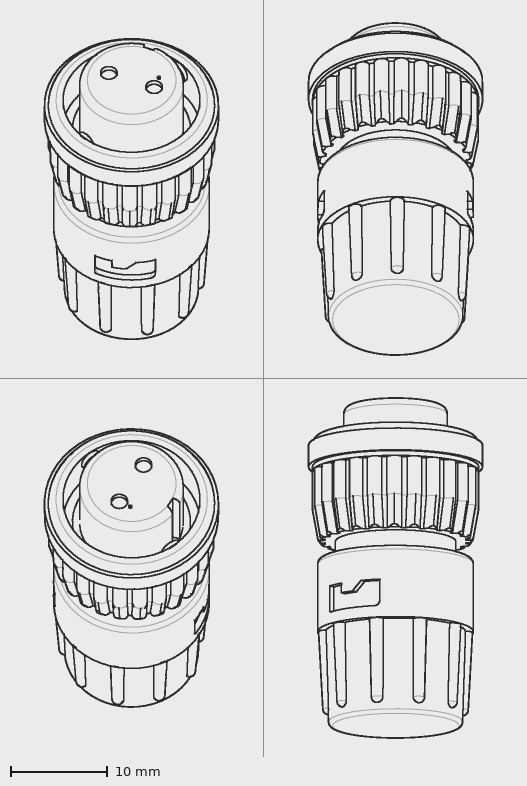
import cadquery as cq
import math

rib_bottom_z = 1.72
sleeve_bottom_z = 9.9
sleeve_top_z = 17.5
grip_bottom_z = 19.42
grip_bend_z = 22.8
grip_top_z = 26.82
flange_bottom_z = 27.33
flange_top_z = 29.63
rim_top_z = 30.47
plug_top_z = 33.68
total_height = 33.78

tail_bottom_radius = 6.95
tail_top_radius = 7.25
tail_edge_fillet = 0.4
rib_count = 10
first_rib_angle = -90
rib_top_center = 7.25
rib_bottom_center = 6.92
rib_top_radius = 0.725
rib_bottom_radius = 0.625

sleeve_radius = 8.07
sleeve_edge_fillet = 0.45
neck_radius = 6.25

latch_depth = 0.68
latch_angle = 17.2
latch_half_width = 3.15
latch_bottom_z = 11.1
latch_top_z = 13.9
latch_tooth_z = 12.87
latch_tooth_left = -1.32
latch_tooth_right = 0.17
latch_small_corner = 0.17
latch_large_corner = 0.5

nut_radius = 8.6
lobe_count = 24
lobe_radius = 0.78
lobe_crown_radius = 8.6
first_lobe_angle = 6.0
flute_floor_radius = 7.97
grip_taper = 0.6
grip_edge_radius = 7.85
grip_edge_height = 1.52
flange_radius = 9.02
rim_fillet = 0.78
bore_radius = 7.1
bore_floor_z = 25.85

lug_diameter = 2.3
lug_tip_radius = 6.55
lug_center_z = 29.25
lug_angle = 67.0

plug_radius = 5.37
plug_fillet = 0.78
seal_radius = 0.37
key_inner_radius = 4.63
key_inner_width = 1.08
key_outer_width = 1.55
contact_spacing = 5.07
contact_radius = 0.86
contact_depth = 0.57
pip_radius = 0.152
pip_offset = 1.32


def cylinder(radius, bottom, top):
    return cq.Workplane("XY").workplane(offset=bottom).circle(radius).extrude(top - bottom)


def cone(bottom_radius, bottom, top_radius, top):
    return cq.Workplane(
        cq.Solid.makeCone(bottom_radius, top_radius, top - bottom, pnt=cq.Vector(0, 0, bottom))
    )


def around_axis(shape, count, first_angle):
    """Union of copies of a shape spaced evenly about the Z axis."""
    copies = cq.Workplane("XY")
    for i in range(count):
        angle = first_angle + i * 360 / count
        copies = copies.add(shape.rotate((0, 0, 0), (0, 0, 1), angle))
    return copies.combine()


def rod(bottom_center, bottom_radius, bottom, top_center, top_radius, top):
    """Round rod leaning in the XZ plane, with flat horizontal ends."""
    return (
        cq.Workplane("XY", origin=(bottom_center, 0, bottom))
        .circle(bottom_radius)
        .workplane(offset=top - bottom)
        .center(top_center - bottom_center, 0)
        .circle(top_radius)
        .loft(ruled=True)
    )


def make_rib():
    """Tapered round rod with a ball end, leaning outwards towards the sleeve."""
    lean = rib_top_center - rib_bottom_center
    rise = sleeve_bottom_z - rib_bottom_z
    length = math.hypot(lean, rise)
    upright = (
        cq.Workplane("XZ")
        .moveTo(0, -rib_bottom_radius)
        .radiusArc((rib_bottom_radius, 0), -rib_bottom_radius)
        .lineTo(rib_top_radius, length)
        .lineTo(0, length)
        .close()
        .revolve()
    )
    lean_angle = math.degrees(math.atan2(lean, rise))
    leaning = upright.rotate((0, 0, 0), (0, 1, 0), lean_angle)
    return leaning.translate((rib_bottom_center, 0, rib_bottom_z))


def make_tail():
    barrel = (
        cq.Workplane("XZ")
        .lineTo(tail_bottom_radius - tail_edge_fillet, 0)
        .radiusArc((tail_bottom_radius, tail_edge_fillet), -tail_edge_fillet)
        .lineTo(tail_top_radius, sleeve_bottom_z)
        .lineTo(0, sleeve_bottom_z)
        .close()
        .revolve()
    )
    return barrel.union(around_axis(make_rib(), rib_count, first_rib_angle))


def make_latch_pocket():
    """Pocket on the -Y side of the sleeve, its roof stepped down by a tooth with one sloping side."""
    slope_run = latch_top_z - latch_tooth_z
    pocket = (
        cq.Workplane("XZ")
        .moveTo(-latch_half_width, latch_top_z)
        .lineTo(latch_tooth_left, latch_top_z)
        .lineTo(latch_tooth_left, latch_tooth_z)
        .lineTo(latch_tooth_right, latch_tooth_z)
        .lineTo(latch_tooth_right + slope_run, latch_top_z)
        .lineTo(latch_half_width, latch_top_z)
        .lineTo(latch_half_width, latch_bottom_z)
        .lineTo(-latch_half_width, latch_bottom_z)
        .close()
        .extrude(sleeve_radius)
    )
    pocket = pocket.edges("|Y").edges("<Z").edges("<X").fillet(latch_small_corner)
    pocket = pocket.edges("|Y").edges(">X").edges("<Z").fillet(latch_large_corner)
    floor = cylinder(sleeve_radius - latch_depth, sleeve_bottom_z, sleeve_top_z)
    return pocket.cut(floor)


def make_sleeve():
    sleeve = cylinder(sleeve_radius, sleeve_bottom_z, sleeve_top_z)
    sleeve = sleeve.faces(">Z").edges().fillet(sleeve_edge_fillet)
    return sleeve.cut(around_axis(make_latch_pocket(), 2, latch_angle))


def make_grip():
    """Ring of rounded lobes, upright above the bend and leaning inwards below it."""
    lobe_center = lobe_crown_radius - lobe_radius
    straight = rod(lobe_center, lobe_radius, grip_bend_z, lobe_center, lobe_radius, grip_top_z)
    leaning = rod(
        lobe_center - grip_taper, lobe_radius, grip_bottom_z, lobe_center, lobe_radius, grip_bend_z
    )
    lobes = around_axis(straight.union(leaning), lobe_count, first_lobe_angle)
    core = cone(flute_floor_radius - grip_taper, grip_bottom_z, flute_floor_radius, grip_bend_z)
    core = core.union(cylinder(flute_floor_radius, grip_bend_z, grip_top_z))
    bevel_top_z = grip_bottom_z + grip_edge_height
    bevel = cone(grip_edge_radius, grip_bottom_z, flange_radius, bevel_top_z)
    envelope = bevel.union(cylinder(flange_radius, bevel_top_z, grip_top_z))
    return core.union(lobes).intersect(envelope)


def make_lugs():
    lug = (
        cq.Workplane("YZ", origin=(lug_tip_radius, 0, lug_center_z))
        .circle(lug_diameter / 2)
        .extrude(nut_radius - rim_fillet - lug_tip_radius)
    )
    return around_axis(lug, 2, lug_angle)


def make_nut():
    rim = cylinder(nut_radius, grip_top_z, rim_top_z).faces(">Z").edges().fillet(rim_fillet)
    flange = cylinder(flange_radius, flange_bottom_z, flange_top_z)
    nut = make_grip().union(rim).union(flange)
    return nut.cut(cylinder(bore_radius, bore_floor_z, rim_top_z)).union(make_lugs())


def make_plug():
    plug = cylinder(plug_radius, bore_floor_z, plug_top_z).faces(">Z").edges().fillet(plug_fillet)
    key_slot = (
        cq.Workplane("XY", origin=(0, 0, bore_floor_z))
        .moveTo(-key_inner_width / 2, key_inner_radius)
        .lineTo(key_inner_width / 2, key_inner_radius)
        .lineTo(key_outer_width / 2, plug_radius)
        .lineTo(-key_outer_width / 2, plug_radius)
        .close()
        .extrude(total_height - bore_floor_z)
    )
    contacts = (
        cq.Workplane("XY", origin=(0, 0, plug_top_z))
        .rarray(contact_spacing, 0.35, 2, 1)
        .circle(contact_radius)
        .extrude(-contact_depth)
    )
    pip = cylinder(pip_radius, bore_floor_z, total_height).translate((contact_spacing / 2, pip_offset, 0))
    seal = cq.Workplane(
        cq.Solid.makeTorus(plug_radius + seal_radius, seal_radius, cq.Vector(0, 0, bore_floor_z))
    )
    return plug.cut(key_slot).cut(contacts).union(pip).union(seal)


neck = cylinder(neck_radius, sleeve_top_z, grip_bottom_z)
result = make_tail().union(make_sleeve()).union(neck).union(make_nut()).union(make_plug())